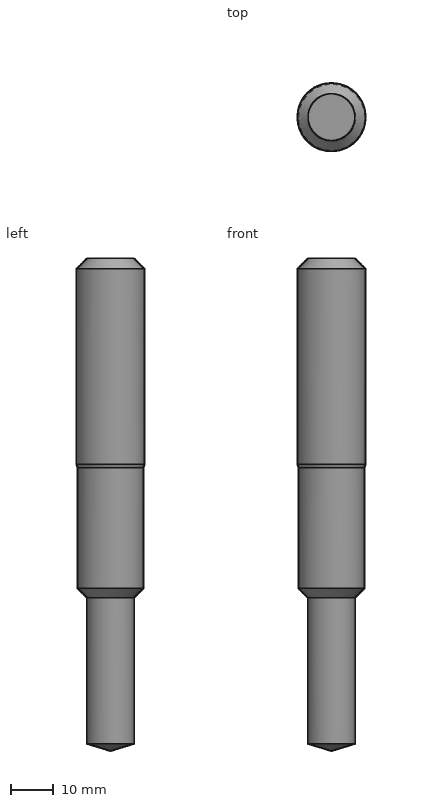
import cadquery as cq

total_length = 115.0
shank_diameter = 16.0
collar_diameter = 15.4
pin_diameter = 11.2

shank_length = 48.1
collar_length = 29.0
tip_height = 1.7
end_chamfer = 2.5
step_taper_length = 0.8

shank_bottom = total_length - shank_length
collar_bottom = shank_bottom - collar_length
taper_bottom = collar_bottom - (collar_diameter - pin_diameter) / 2


def revolve_profile(points):
    """Turn a closed (radius, height) outline about the Z axis."""
    return cq.Workplane("XZ").polyline(points).close().revolve(360, (0, 0, 0), (0, 1, 0))


def make_holder():
    """Shank with a chamfered top, a short step taper and a tapered collar."""
    shank_radius = shank_diameter / 2
    collar_radius = collar_diameter / 2
    return revolve_profile([
        (0, total_length),
        (shank_radius - end_chamfer, total_length),
        (shank_radius, total_length - end_chamfer),
        (shank_radius, shank_bottom),
        (collar_radius, shank_bottom - step_taper_length),
        (collar_radius, collar_bottom),
        (pin_diameter / 2, taper_bottom),
        (0, taper_bottom),
    ])


def make_pin():
    """Round pin butted against the holder, ending in a shallow cone."""
    pin_radius = pin_diameter / 2
    return revolve_profile([
        (0, taper_bottom),
        (pin_radius, taper_bottom),
        (pin_radius, tip_height),
        (0, 0),
    ])


holder = make_holder()
pin = make_pin()
result = cq.Compound.makeCompound([holder.val(), pin.val()])